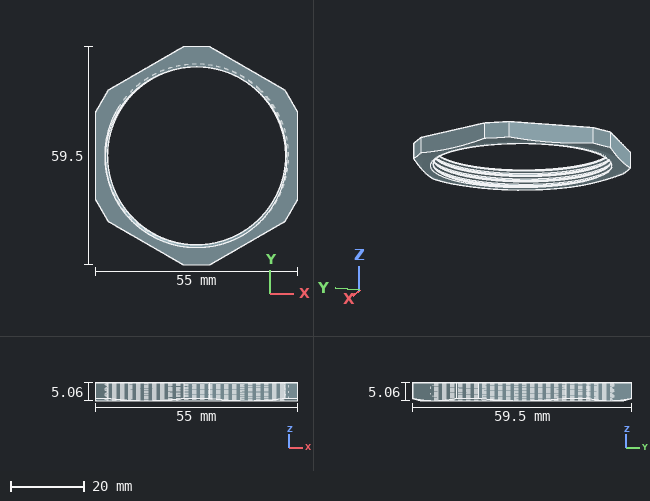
import math

import cadquery as cq

across_flats = 55.0
across_corner_flats = 59.51
height = 5.06
side_count = 6
half_side_angle = 180 / side_count

chamfer_start_radius = 27.25
chamfer_angle = 15.0
envelope_margin = 1.0

pitch = 1.5
minor_radius = 24.19
thread_depth = 0.81
flank_angle = 30.0
root_width = pitch / 4
top_root_angle = 258.0
end_overrun = pitch
bore_overlap = 0.1


def hexagonal_prism(flat_distance, first_corner_angle):
    """Hexagonal prism standing on Z = 0, with one corner at the given angle."""
    corner_diameter = flat_distance / math.cos(math.radians(half_side_angle))
    return (
        cq.Workplane("XY")
        .transformed(rotate=(0, 0, first_corner_angle))
        .polygon(side_count, corner_diameter)
        .extrude(height)
    )


def nut_blank():
    """Hexagon with its corners cut off by a second, larger hexagon."""
    hexagon = hexagonal_prism(across_flats, half_side_angle)
    corner_trim = hexagonal_prism(across_corner_flats, 0)
    return hexagon.intersect(corner_trim)


def chamfer_envelope():
    """Round body with a conical lower end that trims the bottom corners of the nut."""
    outer_radius = across_corner_flats / 2 + envelope_margin
    cone_height = (outer_radius - chamfer_start_radius) * math.tan(math.radians(chamfer_angle))
    return (
        cq.Workplane("XZ")
        .moveTo(0, 0)
        .lineTo(chamfer_start_radius, 0)
        .lineTo(outer_radius, cone_height)
        .lineTo(outer_radius, height)
        .lineTo(0, height)
        .close()
        .revolve(360, (0, 0, 0), (0, 1, 0))
    )


def thread_cutter():
    """Right-hand helical groove that runs past both faces of the nut."""
    slope = math.tan(math.radians(flank_angle))
    root_half = root_width / 2
    mouth_half = root_half + (thread_depth + bore_overlap) * slope
    inner_radius = minor_radius - bore_overlap
    major_radius = minor_radius + thread_depth

    start_height = -end_overrun
    helix_length = height + 2 * end_overrun
    path = cq.Wire.makeHelix(pitch, helix_length, minor_radius)
    groove = (
        cq.Workplane("XZ")
        .moveTo(inner_radius, -mouth_half)
        .lineTo(major_radius, -root_half)
        .lineTo(major_radius, root_half)
        .lineTo(inner_radius, mouth_half)
        .close()
        .sweep(cq.Workplane(obj=path), isFrenet=True)
    )
    turn_to_top = 360 * (height - start_height) / pitch
    start_angle = top_root_angle - turn_to_top
    return groove.rotate((0, 0, 0), (0, 0, 1), start_angle).translate((0, 0, start_height))


def bore_cutter():
    """Cylinder of the thread's minor diameter, reaching past both faces of the nut."""
    return (
        cq.Workplane("XY")
        .workplane(offset=-end_overrun)
        .circle(minor_radius)
        .extrude(height + 2 * end_overrun)
    )


blank = nut_blank().intersect(chamfer_envelope())
result = blank.cut(thread_cutter()).cut(bore_cutter())